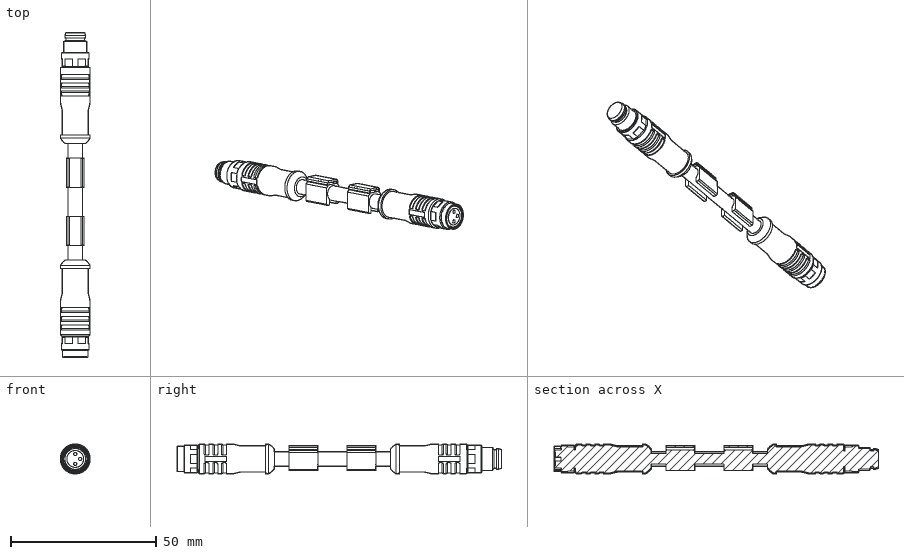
import cadquery as cq
import math


cable_diameter = 5.1
cable_length = 40.0
cable_overlap = 2.0

nose_diameter = 6.9
body_diameter = 10.3
shaft_diameter = 9.1
nose_length = 1.95
nose_bulge = 0.1
flange_end = 3.05
shaft_end = 11.6
body_start = 14.15
body_end = 26.3

groove_depth = 0.3
groove_floor_width = 1.2
groove_slope_width = 0.5
groove_end_height = 1.3
groove_corner_radius = 0.5
strip_width = 1.7
strip_depth = 0.15
strip_start = body_start + 2.4
strip_length = 7.4
plug_grooves = [(16.5, 1), (19.2, -1), (22.2, -1)]
socket_grooves = [(16.5, 1), (19.5, 1), (22.5, 1)]

ring_diameter = 9.6
ring_across_flats = 9.1
flat_count = 6

plug_length = 38.3
plug_body_edge = 0.4
plug_body_edge_drop = 0.1
plug_neck_diameter = 6.5
plug_ring_start = 26.65
plug_ring_end = 31.5
plug_flat_length = 2.55
plug_ring_chamfer = 0.3
plug_barrel_diameter = 8.0
plug_barrel_end = 35.6
plug_barrel_chamfer = 0.4
latch_root_diameter = 6.5
latch_diameter = 7.2
latch_start = 36.5
latch_land_end = 37.3

socket_length = 33.6
socket_neck_diameter = 7.2
socket_body_chamfer = 0.5
socket_ring_start = 26.6
socket_ring_end = 30.95
socket_flat_length = 2.25
socket_ring_chamfer = 0.25
socket_collar_diameter = 8.8
collar_edge_chamfer = 0.2
mouth_diameter = 8.2
bore_diameter = 8.0
mouth_depth = 0.3
bore_depth = 2.5
insert_diameter = 7.2
insert_face_diameter = 5.8
insert_recess = 0.4
insert_root = 1.0
contact_diameter = 1.1
contact_depth = 2.0
contact_circle_radius = 1.7
contact_angles = [-90, 0, 90]

clip_length = 10.0
clip_positions = [-10.0, 10.0]
clip_half_width = 3.04
clip_leg_bottom = -4.0
clip_leg_chamfer = 0.45
clip_leg_inner = 1.6
clip_shoulder_height = 2.2
clip_groove_height = 2.9
clip_groove_half_width = 2.3
plate_half_width = 2.55
plate_underside = 3.2
plate_edge_top = 3.9
plate_top = 4.55
plate_top_half_width = 1.9
window_half_width = 1.9
window_bottom = 3.1
window_top = 3.9


def rear_profile():
    """Half outline of the shared rear part, from the axis to the end of the taper."""
    nose_radius = nose_diameter / 2
    body_radius = body_diameter / 2
    middle_of_nose = ((nose_radius + body_radius) / 2 + nose_bulge, nose_length / 2 - nose_bulge)
    return (
        cq.Workplane("XY")
        .lineTo(nose_radius, 0)
        .threePointArc(middle_of_nose, (body_radius, nose_length))
        .lineTo(body_radius, flange_end)
        .lineTo(shaft_diameter / 2, flange_end)
        .lineTo(shaft_diameter / 2, shaft_end)
        .lineTo(body_radius, body_start)
    )


def revolve_connector(front_points):
    """Revolve the shared rear outline and the given front outline about the cable axis."""
    outline = rear_profile()
    for diameter, y in front_points:
        outline = outline.lineTo(diameter / 2, y)
    return outline.close().revolve(360, (0, 0, 0), (0, 1, 0))


def grip_groove(start, slope_side):
    """Two opposite arcs of a ring groove, ending in rounded corners short of the side strips."""
    outer = body_diameter / 2 + groove_depth
    floor = body_diameter / 2 - groove_depth
    width = groove_floor_width + groove_slope_width
    square_y = start if slope_side > 0 else start + width
    floor_y = square_y + slope_side * groove_floor_width
    slope_run = groove_slope_width * (outer - floor) / groove_depth
    ring = (
        cq.Workplane("XY")
        .moveTo(floor, square_y)
        .lineTo(outer, square_y)
        .lineTo(outer, floor_y + slope_side * slope_run)
        .lineTo(floor, floor_y)
        .close()
        .revolve(360, (0, 0, 0), (0, 1, 0))
    )
    arcs = (
        cq.Workplane("XY")
        .box(2 * body_diameter, width, body_diameter)
        .edges("|X and <Z")
        .fillet(groove_corner_radius)
        .translate((0, start + width / 2, groove_end_height + body_diameter / 2))
    )
    return ring.intersect(arcs.union(arcs.mirror("XY")))


def cut_grip(connector, grooves):
    for start, slope_side in grooves:
        connector = connector.cut(grip_groove(start, slope_side))
    for side in (-1, 1):
        strip = (
            cq.Workplane("XY")
            .box(2 * strip_depth, strip_length, strip_width)
            .translate((side * body_diameter / 2, strip_start + strip_length / 2, 0))
        )
        connector = connector.cut(strip)
    return connector


def cut_flats(connector, start, length):
    """Six flats on the coupling ring, one of them facing straight sideways."""
    depth = ring_diameter - ring_across_flats
    flat = (
        cq.Workplane("XY")
        .box(depth, length, ring_diameter)
        .translate((ring_across_flats / 2 + depth / 2, start + length / 2, 0))
    )
    for index in range(flat_count):
        angle = index * 360 / flat_count
        connector = connector.cut(flat.rotate((0, 0, 0), (0, 1, 0), angle))
    return connector


def make_plug():
    plug = revolve_connector([
        (body_diameter, body_end - plug_body_edge),
        (body_diameter - 2 * plug_body_edge_drop, body_end),
        (plug_neck_diameter, body_end),
        (plug_neck_diameter, plug_ring_start),
        (ring_diameter, plug_ring_start),
        (ring_diameter, plug_ring_end - plug_ring_chamfer),
        (ring_diameter - 2 * plug_ring_chamfer, plug_ring_end),
        (plug_barrel_diameter, plug_ring_end),
        (plug_barrel_diameter, plug_barrel_end - plug_barrel_chamfer),
        (latch_root_diameter, plug_barrel_end),
        (latch_root_diameter, latch_start),
        (latch_diameter, latch_start),
        (latch_diameter, latch_land_end),
        (latch_root_diameter, plug_length),
        (0, plug_length),
    ])
    plug = cut_grip(plug, plug_grooves)
    return cut_flats(plug, plug_ring_start, plug_flat_length)


def make_insert(face_y):
    """Contact carrier standing in the bore, with a rounded lip around its flat face."""
    lip_radius = (insert_diameter - insert_face_diameter) / 4
    lip_middle = (insert_diameter / 2 - lip_radius, face_y + lip_radius)
    base_y = socket_length - bore_depth - insert_root
    return (
        cq.Workplane("XY")
        .moveTo(0, base_y)
        .lineTo(insert_diameter / 2, base_y)
        .lineTo(insert_diameter / 2, face_y)
        .threePointArc(lip_middle, (insert_face_diameter / 2, face_y))
        .lineTo(0, face_y)
        .close()
        .revolve(360, (0, 0, 0), (0, 1, 0))
    )


def make_socket():
    insert_face = socket_length - insert_recess
    socket = revolve_connector([
        (body_diameter, body_end - socket_body_chamfer),
        (body_diameter - 2 * socket_body_chamfer, body_end),
        (socket_neck_diameter, body_end),
        (socket_neck_diameter, socket_ring_start),
        (ring_diameter, socket_ring_start),
        (ring_diameter, socket_ring_end),
        (socket_collar_diameter, socket_ring_end + socket_ring_chamfer),
        (socket_collar_diameter, socket_length - collar_edge_chamfer),
        (socket_collar_diameter - 2 * collar_edge_chamfer, socket_length),
        (mouth_diameter, socket_length),
        (bore_diameter, socket_length - mouth_depth),
        (bore_diameter, socket_length - bore_depth),
        (0, socket_length - bore_depth),
    ])
    socket = socket.union(make_insert(insert_face))
    socket = cut_grip(socket, socket_grooves)
    socket = cut_flats(socket, socket_ring_start, socket_flat_length)
    for angle in contact_angles:
        x = contact_circle_radius * math.cos(math.radians(angle))
        z = contact_circle_radius * math.sin(math.radians(angle))
        hole = cq.Solid.makeCylinder(
            contact_diameter / 2, contact_depth, cq.Vector(x, insert_face, z), cq.Vector(0, -1, 0)
        )
        socket = socket.cut(cq.Workplane(hole))
    return socket


def make_clip(center_y):
    """Label holder: two legs around the cable and a windowed plate on top."""
    side = [
        (plate_top_half_width, plate_top),
        (plate_half_width, plate_edge_top),
        (plate_half_width, plate_underside),
        (clip_groove_half_width, clip_groove_height),
        (clip_half_width, clip_shoulder_height),
        (clip_half_width, clip_leg_bottom + clip_leg_chamfer),
        (clip_half_width - clip_leg_chamfer, clip_leg_bottom),
        (clip_leg_inner, clip_leg_bottom),
        (clip_leg_inner, 0),
    ]
    mirrored_side = [(-x, z) for x, z in reversed(side)]
    clip = cq.Workplane("XZ").polyline(side + mirrored_side).close().extrude(clip_length / 2, both=True)
    window = cq.Workplane("XY").box(2 * window_half_width, clip_length, window_top - window_bottom)
    clip = clip.cut(window.translate((0, 0, (window_top + window_bottom) / 2)))
    return clip.translate((0, center_y, 0))


def make_cable():
    length = cable_length + 2 * cable_overlap
    return cq.Workplane("XZ").circle(cable_diameter / 2).extrude(length / 2, both=True)


plug = make_plug().translate((0, cable_length / 2, 0))
socket = make_socket().translate((0, cable_length / 2, 0)).mirror("XZ")
result = make_cable().union(plug).union(socket)
for clip_position in clip_positions:
    result = result.union(make_clip(clip_position))